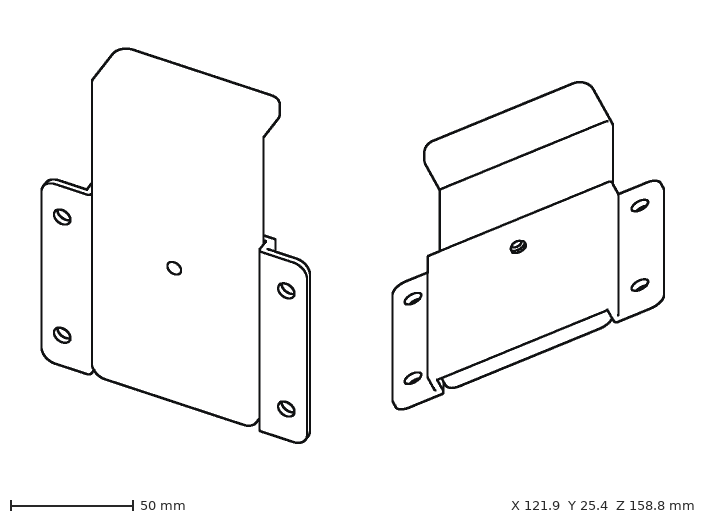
import cadquery as cq

plate_width = 76.2
plate_height = 158.75
plate_thickness = 6.35
lip_depth = 25.4
plate_corner_radius = 6.35
plate_edge_radius = 0.762
top_bend_radius = 1.016

bracket_width = 121.92
bracket_height = 96.52
sheet_thickness = 3.175
side_clearance = 0.508
back_clearance = 0.635
mouth_radius = 1.27
hat_bend_radius = 1.016
bracket_edge_radius = 0.508
flange_corner_radius = 6.35
channel_width = plate_width + 2 * side_clearance
channel_depth = plate_thickness + back_clearance
hat_width = channel_width + 2 * sheet_thickness
hat_depth = channel_depth + sheet_thickness

mount_hole_diameter = 7.5
mount_hole_spacing_x = 102.87
mount_hole_spacing_z = 63.5
mount_hole_center_z = bracket_height / 2

pin_diameter = 6.35
pin_length = 12.4
pin_chamfer = 1.0
pin_z = 72.39


def box_from_front(width, depth, height):
    """Box centred on X with its front face on Y = 0 and its base on Z = 0."""
    return cq.Workplane("XY").box(width, depth, height, centered=(True, False, False))


def pin_cylinder(length):
    """Cylinder on the pin axis, running from Y = 0 to Y = length."""
    return cq.Workplane("XZ", origin=(0, 0, pin_z)).circle(pin_diameter / 2).extrude(-length)


def make_plate():
    wall = box_from_front(plate_width, plate_thickness, plate_height)
    wall = wall.edges("|Y and <Z").fillet(plate_corner_radius)
    lip = box_from_front(plate_width, lip_depth, plate_thickness)
    lip = lip.edges("|Z and >Y").fillet(plate_corner_radius)
    lip = lip.translate((0, 0, plate_height - plate_thickness))
    body = wall.union(lip)
    body = body.edges("<Y and >Z").fillet(top_bend_radius)
    side_edges = body.faces("<X or >X").edges()
    end_edges = body.faces("<Z or >Y").edges("|X")
    body = side_edges.add(end_edges).fillet(plate_edge_radius)
    return body.cut(pin_cylinder(plate_thickness))


def make_bracket():
    flanges = box_from_front(bracket_width, sheet_thickness, bracket_height)
    flanges = flanges.edges("|Y").fillet(flange_corner_radius)
    flanges = flanges.faces(">Y").edges().fillet(bracket_edge_radius)
    hat = box_from_front(hat_width, hat_depth, bracket_height)
    hat = hat.edges("|Z and >Y").fillet(hat_bend_radius)
    hat = hat.faces("<Z or >Z").edges("not <Y").fillet(bracket_edge_radius)
    channel = box_from_front(channel_width, channel_depth, bracket_height)
    body = flanges.union(hat).cut(channel)
    mouth_x = channel_width / 2
    for x in (-mouth_x, mouth_x):
        mouth_edge = cq.selectors.NearestToPointSelector((x, 0, bracket_height / 2))
        body = body.edges(mouth_edge).fillet(mouth_radius)
    holes = (
        cq.Workplane("XZ", origin=(0, 0, mount_hole_center_z))
        .rarray(mount_hole_spacing_x, mount_hole_spacing_z, 2, 2)
        .circle(mount_hole_diameter / 2)
        .extrude(-sheet_thickness)
    )
    return body.cut(holes).cut(pin_cylinder(hat_depth))


def make_pin():
    return pin_cylinder(pin_length).faces(">Y").chamfer(pin_chamfer)


plate = make_plate()
bracket = make_bracket()
pin = make_pin()

result = cq.Compound.makeCompound([plate.val(), bracket.val(), pin.val()])